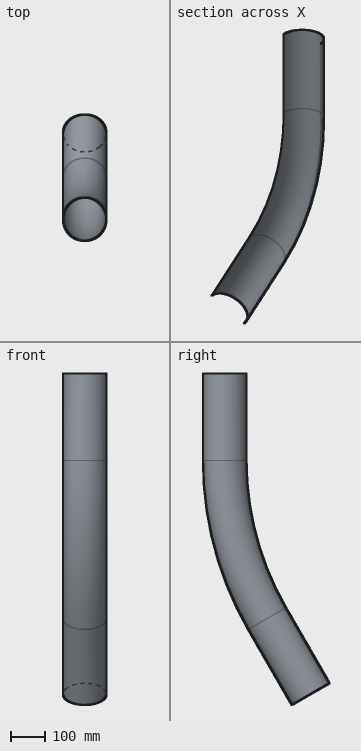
import cadquery as cq
import math

total_height = 963.0
outer_diameter = 127.0
inner_diameter = 124.0
straight_length = 253.0
bend_angle = 30.0

angle = math.radians(bend_angle)
end_rim_drop = outer_diameter / 2 * math.sin(angle)
bend_height = total_height - straight_length * (1 + math.cos(angle)) - end_rim_drop
bend_radius = bend_height / math.sin(angle)


def centreline():
    """Path from the top opening at the origin, straight down, then bending towards +Y."""

    def bend_point(turn):
        return (
            bend_radius * (1 - math.cos(turn)),
            -straight_length - bend_radius * math.sin(turn),
        )

    bend_end = bend_point(angle)
    pipe_end = (
        bend_end[0] + straight_length * math.sin(angle),
        bend_end[1] - straight_length * math.cos(angle),
    )
    return (
        cq.Workplane("YZ")
        .lineTo(0, -straight_length)
        .threePointArc(bend_point(angle / 2), bend_end)
        .lineTo(*pipe_end)
    )


result = (
    cq.Workplane("XY")
    .circle(outer_diameter / 2)
    .circle(inner_diameter / 2)
    .sweep(centreline())
)